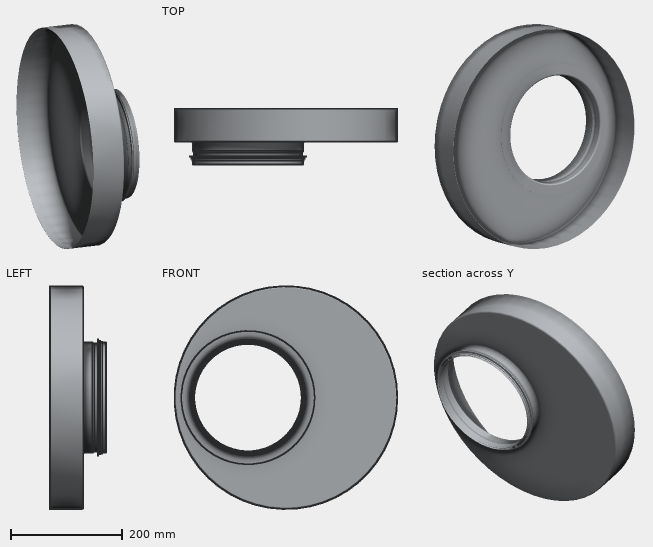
import cadquery as cq

sheet = 0.5
cap_diameter = 401.5
cap_depth = 60.0
cap_edge_radius = 3.5

collar_offset = -68.25
flange_diameter = 240.0
spigot_diameter = 198.95
spigot_length = 41.0
root_radius = 2.5
neck_diameter = 194.15
taper_start = 16.0
taper_length = 3.8

sleeve_diameter = 195.35
seal_body_diameter = 200.0
skirt_diameter = 201.5
skirt_end = 33.8
long_lip_start = 25.7
long_lip_diameter = 209.35
long_lip_thickness = 1.3
short_lip_diameter = 204.35
short_lip_tip_diameter = 203.95
short_lip_start = 29.3
short_lip_thickness = 1.3

cap_radius = cap_diameter / 2
spigot_radius = spigot_diameter / 2
neck_radius = neck_diameter / 2
neck_bore_radius = neck_radius - sheet
taper_end = taper_start + taper_length
seal_end = short_lip_start + short_lip_thickness
cap_hole_radius = spigot_radius + root_radius


def ring_on_collar_axis(profile):
    """Turn a closed profile of radius against y into a ring on the collar's axis."""
    return profile.close().revolve(360, (0, 0, 0), (0, 1, 0)).translate((collar_offset, 0, 0))


def make_cap():
    drum = cq.Workplane("XZ").circle(cap_radius).extrude(-cap_depth)
    drum = drum.faces("<Y").edges().fillet(cap_edge_radius)
    cap = drum.faces(">Y").shell(-sheet)
    hole = cq.Workplane("XZ").center(collar_offset, 0).circle(cap_hole_radius).extrude(-cap_depth)
    return cap.cut(hole)


def make_collar():
    flange_radius = flange_diameter / 2
    flange_front = sheet
    flange_back = flange_front + sheet
    root_end = flange_front - root_radius
    hem_radius = (spigot_radius - neck_bore_radius) / 2
    hem_bend_start = spigot_length - hem_radius
    spigot_bore_radius = spigot_radius - sheet
    profile = (
        cq.Workplane("XY")
        .moveTo(flange_radius, flange_back)
        .lineTo(flange_radius, flange_front)
        .lineTo(cap_hole_radius, flange_front)
        .radiusArc((spigot_radius, root_end), -root_radius)
        .lineTo(spigot_radius, -taper_start)
        .lineTo(neck_radius, -taper_end)
        .lineTo(neck_radius, -hem_bend_start)
        .radiusArc((spigot_bore_radius, -hem_bend_start), -(hem_radius - sheet))
        .lineTo(spigot_bore_radius, -seal_end)
        .lineTo(spigot_radius, -seal_end)
        .lineTo(spigot_radius, -hem_bend_start)
        .radiusArc((neck_bore_radius, -hem_bend_start), hem_radius)
        .lineTo(neck_bore_radius, -taper_end)
        .lineTo(spigot_bore_radius, -taper_start)
        .lineTo(spigot_bore_radius, root_end)
        .radiusArc((cap_hole_radius, flange_back), root_radius + sheet)
    )
    return ring_on_collar_axis(profile)


def make_seal():
    sleeve_radius = sleeve_diameter / 2
    body_radius = seal_body_diameter / 2
    long_lip_radius = long_lip_diameter / 2
    long_lip_end = long_lip_start + long_lip_thickness
    skirt_radius = skirt_diameter / 2
    profile = (
        cq.Workplane("XY")
        .moveTo(neck_radius, -taper_end)
        .lineTo(sleeve_radius, -taper_end)
        .lineTo(sleeve_radius, -long_lip_start)
        .lineTo(long_lip_radius, -long_lip_start)
        .lineTo(long_lip_radius, -long_lip_end)
        .lineTo(body_radius, -long_lip_end)
        .lineTo(body_radius, -short_lip_start)
        .lineTo(short_lip_diameter / 2, -short_lip_start)
        .lineTo(short_lip_tip_diameter / 2, -seal_end)
        .lineTo(skirt_radius, -seal_end)
        .lineTo(skirt_radius, -skirt_end)
        .lineTo(spigot_radius, -skirt_end)
        .lineTo(spigot_radius, -seal_end)
        .lineTo(neck_radius, -seal_end)
    )
    return ring_on_collar_axis(profile)


cap = make_cap()
collar = make_collar()
seal = make_seal()

result = cq.Compound.makeCompound([cap.val(), collar.val(), seal.val()])